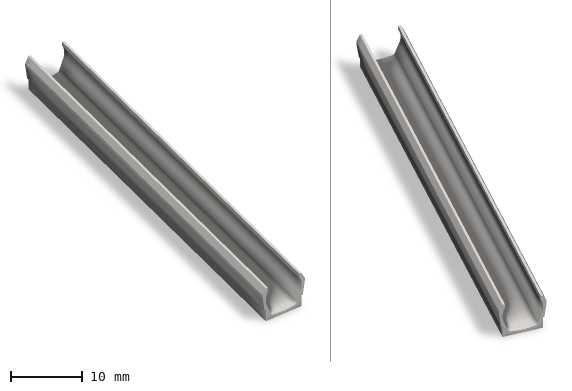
import cadquery as cq

length = 60.0
height = 6.0
half_width = 7.0 / 2

base_half_width = 3.0
base_height = 2.0
ledge_half_width = 3.2
crest_low = 4.4
crest_high = 4.9
lip_outer = 3.0

lip_inner = 2.65
lip_bottom = 5.3
bulge_half_width = 3.0
bulge_height = 3.65
bulge_end = (2.7, 2.5)
slope_end = (2.2, 1.2)
corner_middle = (2.05, 0.85)

floor_half_width = 1.75
floor_edge = 0.7
floor_middle = 0.55


def mirrored(point):
    """Return the matching point on the opposite wall."""
    return (-point[0], point[1])


outer_side = [
    (base_half_width, 0),
    (base_half_width, base_height),
    (ledge_half_width, base_height),
    (half_width, crest_low),
    (half_width, crest_high),
    (lip_outer, height),
]
lip_end = (lip_inner, lip_bottom)
bulge_middle = (bulge_half_width, bulge_height)
floor_corner = (floor_half_width, floor_edge)

section = (
    cq.Workplane("YZ")
    .polyline(outer_side)
    .lineTo(lip_inner, height)
    .lineTo(*lip_end)
    .threePointArc(bulge_middle, bulge_end)
    .lineTo(*slope_end)
    .threePointArc(corner_middle, floor_corner)
    .threePointArc((0, floor_middle), mirrored(floor_corner))
    .threePointArc(mirrored(corner_middle), mirrored(slope_end))
    .lineTo(*mirrored(bulge_end))
    .threePointArc(mirrored(bulge_middle), mirrored(lip_end))
    .lineTo(-lip_inner, height)
)
for point in reversed(outer_side):
    section = section.lineTo(*mirrored(point))

result = section.close().extrude(length / 2, both=True)